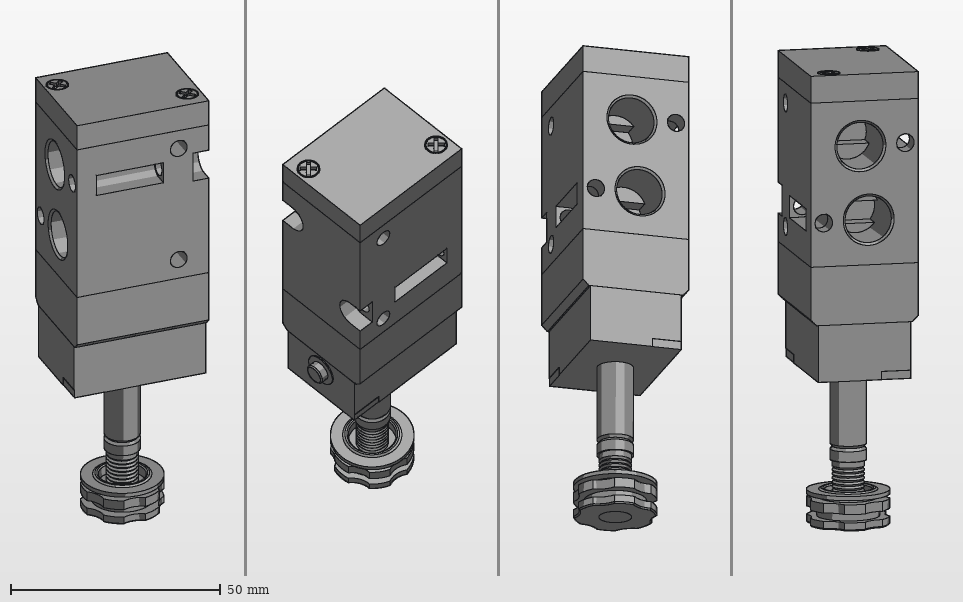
import cadquery as cq
import math


BODY_WIDTH = 26.5
BODY_DEPTH = 34.0
PILOT_WIDTH = 22.7
TOP_Z = 112.6
CAP_Z = 106.1
ADAPTER_TOP_Z = 66.1
PILOT_TOP_Z = 51.8
PILOT_BOTTOM_Z = 38.0
ADAPTER_CHAMFER = 1.5

FRONT_Y = -BODY_DEPTH / 2
BACK_Y = BODY_DEPTH / 2
LEFT_X = -BODY_WIDTH / 2

SCREW_X = 8.0
SCREW_Y = 13.5
SCREW_SEAT_DIAMETER = 5.4
SCREW_HEAD_DIAMETER = 4.8
SCREW_GAP_DEPTH = 0.6
CROSS_LENGTH = 3.9
CROSS_WIDTH = 0.96
CROSS_DEPTH = 0.9

ROWS_MID_Z = (CAP_Z + ADAPTER_TOP_Z) / 2
PORT_X = 1.0
PORT_RISE = 9.0
PORT_DIAMETER = 11.4
PORT_CHAMFER = 0.6
PORT_DEPTH = 13.5
GALLERY_RISE = 9.7
GALLERY_HEIGHT = 5.4
GALLERY_DEPTH = 4.5
MOUNT_X = 10.0
MOUNT_RISE = 9.3
HOLE_DIAMETER = 4.3
SLOT_HEIGHT = 5.4
SLOT_FRONT_Y = -12.0
SLOT_BACK_Y = 5.3
NOTCH_HEIGHT = 7.5
NOTCH_FRONT_Y = 13.0
CROSS_HOLE_Y = 9.2
CROSS_HOLE_HEIGHTS = (101.2, 71.2)

RELIEF_LENGTH_X = 7.2
RELIEF_LENGTH_Y = 8.1
RELIEF_HEIGHT = 2.0
RELIEF_DEPTH = 0.1
OVERRIDE_Z = 47.2
OVERRIDE_FLANGE_DIAMETER = 8.1
OVERRIDE_FLANGE_THICKNESS = 0.3
OVERRIDE_BUTTON_DIAMETER = 5.1
OVERRIDE_HEIGHT = 2.5
OVERRIDE_CHAMFER = 0.3

STEM_RADIUS = 4.4
GROOVE_RADIUS = 3.8
GROOVE_TOP_Z = 19.6
GROOVE_HEIGHT = 1.4
GROOVE_MID_Z = GROOVE_TOP_Z - GROOVE_HEIGHT / 2
COLLAR_BOTTOM_Z = 15.7
THREAD_TOP_Z = 14.2
THREAD_RADIUS = 3.9
THREAD_ROOT_RADIUS = 3.5
THREAD_PITCH = 1.0
THREAD_TURNS = 8

FLANGE_RADIUS = 10.0
LIP_BASE_RADIUS = 7.1
LIP_TOP_RADIUS = 6.5
NECK_RADIUS = 7.0
WAIST_RADIUS = 7.5
LIP_TOP_Z = 8.8
FLANGE_TOP_Z = 8.5
FLANGE_BOTTOM_Z = 7.4
UPPER_LOBES_TOP_Z = 6.4
UPPER_LOBES_BOTTOM_Z = 4.0
LOWER_LOBES_TOP_Z = 2.0
LOBE_RADIUS = 10.0
LOBE_COUNT = 6
LOBE_SPAN = 29.0
LOBE_TURN = 26.2
SCALLOP_RADIUS = 5.6
NUT_EDGE_CHAMFER = 0.3
NUT_BORE_RADIUS = 5.7
NUT_BORE_FLOOR_Z = THREAD_TOP_Z - THREAD_TURNS * THREAD_PITCH
NUT_BORE_CHAMFER = 0.3


def block(width, bottom_z, top_z):
    """Block of full depth, centred on the Z axis."""
    return (
        cq.Workplane("XY")
        .workplane(offset=bottom_z)
        .rect(width, BODY_DEPTH)
        .extrude(top_z - bottom_z)
    )


def rod_along_y(x, z, diameter, front_y, back_y):
    """Cylinder parallel to Y."""
    return cq.Workplane(cq.Solid.makeCylinder(
        diameter / 2, back_y - front_y, cq.Vector(x, front_y, z), cq.Vector(0, 1, 0)
    ))


def revolve_profile(points):
    """Solid of revolution about Z from (radius, z) points that start and end on the axis."""
    profile = [(-radius, z) for radius, z in points]
    return cq.Workplane("XZ").polyline(profile).close().revolve(360, (0, 0), (0, 1))


def make_cap():
    cap = block(BODY_WIDTH, CAP_Z, TOP_Z)
    for side in (1, -1):
        top = cq.Workplane("XY").workplane(offset=TOP_Z).center(side * SCREW_X, side * SCREW_Y)
        gap = (
            top.circle(SCREW_SEAT_DIAMETER / 2)
            .circle(SCREW_HEAD_DIAMETER / 2)
            .extrude(-SCREW_GAP_DEPTH)
        )
        cap = cap.cut(gap)
        for angle in (45, -45):
            arm = top.transformed(rotate=(0, 0, angle)).rect(CROSS_LENGTH, CROSS_WIDTH)
            cap = cap.cut(arm.extrude(-CROSS_DEPTH))
    return cap


def port_cutter(x, z):
    """Flat-bottomed port with a chamfered mouth."""
    floor_y = FRONT_Y + PORT_DEPTH
    bore = rod_along_y(x, z, PORT_DIAMETER, FRONT_Y, floor_y)
    mouth = cq.Workplane(cq.Solid.makeCone(
        PORT_DIAMETER / 2 + PORT_CHAMFER, PORT_DIAMETER / 2, PORT_CHAMFER,
        cq.Vector(x, FRONT_Y, z), cq.Vector(0, 1, 0),
    ))
    return bore.union(mouth)


def gallery_cutter(x, port_z, mid_z):
    """Band across the port floor, as wide as the port, sunk below the floor."""
    floor_y = FRONT_Y + PORT_DEPTH
    end_y = floor_y + GALLERY_DEPTH
    slab = cq.Workplane("XY").box(PORT_DIAMETER, 2 * GALLERY_DEPTH, GALLERY_HEIGHT)
    slab = slab.translate((x, floor_y, mid_z))
    return rod_along_y(x, port_z, PORT_DIAMETER, floor_y, end_y).intersect(slab)


def side_slot(side, z, height, front_y, back_y):
    """Slot round a mounting hole, open to the near side face, with a rounded floor."""
    run_out = BODY_WIDTH / 2 - MOUNT_X
    straight = cq.Workplane("XY").box(run_out, back_y - front_y, height)
    straight = straight.translate((side * (MOUNT_X + run_out / 2), (front_y + back_y) / 2, z))
    return straight.union(rod_along_y(side * MOUNT_X, z, height, front_y, back_y))


def make_body():
    body = block(BODY_WIDTH, ADAPTER_TOP_Z, CAP_Z)
    for side in (1, -1):
        port_x = -side * PORT_X
        port_z = ROWS_MID_Z + side * PORT_RISE
        gallery_z = ROWS_MID_Z + side * GALLERY_RISE
        mount_z = ROWS_MID_Z + side * MOUNT_RISE
        body = body.cut(port_cutter(port_x, port_z))
        body = body.cut(gallery_cutter(port_x, port_z, gallery_z))
        body = body.cut(rod_along_y(side * MOUNT_X, mount_z, HOLE_DIAMETER, FRONT_Y, BACK_Y))
        body = body.cut(side_slot(side, mount_z, SLOT_HEIGHT, SLOT_FRONT_Y, SLOT_BACK_Y))
        body = body.cut(side_slot(side, mount_z, NOTCH_HEIGHT, NOTCH_FRONT_Y, BACK_Y))
    for z in CROSS_HOLE_HEIGHTS:
        cross_hole = cq.Solid.makeCylinder(
            HOLE_DIAMETER / 2, BODY_WIDTH, cq.Vector(LEFT_X, CROSS_HOLE_Y, z), cq.Vector(1, 0, 0)
        )
        body = body.cut(cq.Workplane(cross_hole))
    return body


def make_adapter():
    adapter = block(BODY_WIDTH, PILOT_TOP_Z, ADAPTER_TOP_Z)
    return adapter.faces("<Z").edges("|Y").chamfer(ADAPTER_CHAMFER)


def make_stem():
    """Stem with a V groove, a collar and thread ridges that end inside the nut."""
    points = [
        (0, PILOT_BOTTOM_Z),
        (STEM_RADIUS, PILOT_BOTTOM_Z),
        (STEM_RADIUS, GROOVE_TOP_Z),
        (GROOVE_RADIUS, GROOVE_MID_Z),
        (STEM_RADIUS, GROOVE_TOP_Z - GROOVE_HEIGHT),
        (STEM_RADIUS, COLLAR_BOTTOM_Z),
        (THREAD_RADIUS, COLLAR_BOTTOM_Z),
        (THREAD_RADIUS, THREAD_TOP_Z),
    ]
    for turn in range(THREAD_TURNS):
        crest_z = THREAD_TOP_Z - turn * THREAD_PITCH
        points.append((THREAD_ROOT_RADIUS, crest_z - THREAD_PITCH / 2))
        points.append((THREAD_RADIUS, crest_z - THREAD_PITCH))
    points += [(THREAD_RADIUS, 0), (0, 0)]
    return revolve_profile(points)


def make_override():
    """Flanged button on the back of the pilot block."""
    flange = rod_along_y(
        0, OVERRIDE_Z, OVERRIDE_FLANGE_DIAMETER, BACK_Y, BACK_Y + OVERRIDE_FLANGE_THICKNESS
    )
    button = rod_along_y(0, OVERRIDE_Z, OVERRIDE_BUTTON_DIAMETER, BACK_Y, BACK_Y + OVERRIDE_HEIGHT)
    return flange.union(button.faces(">Y").chamfer(OVERRIDE_CHAMFER))


def make_pilot():
    pilot = block(PILOT_WIDTH, PILOT_BOTTOM_Z, PILOT_TOP_Z)
    relief_z = PILOT_BOTTOM_Z + RELIEF_HEIGHT / 2
    front_relief = cq.Workplane("XY").box(RELIEF_LENGTH_X, 2 * RELIEF_DEPTH, RELIEF_HEIGHT)
    pilot = pilot.cut(front_relief.translate(((PILOT_WIDTH - RELIEF_LENGTH_X) / 2, FRONT_Y, relief_z)))
    side_relief = cq.Workplane("XY").box(2 * RELIEF_DEPTH, RELIEF_LENGTH_Y, RELIEF_HEIGHT)
    pilot = pilot.cut(side_relief.translate((-PILOT_WIDTH / 2, BACK_Y - RELIEF_LENGTH_Y / 2, relief_z)))
    return pilot.union(make_stem()).union(make_override())


def polar(radius, degrees):
    angle = math.radians(degrees)
    return (radius * math.cos(angle), radius * math.sin(angle))


def lobed_disc(bottom_z, top_z):
    """Disc whose rim alternates between round lobes and hollow scallops."""
    step = 360 / LOBE_COUNT
    half_lobe = LOBE_SPAN / 2
    half_scallop = step / 2 - half_lobe
    half_chord = LOBE_RADIUS * math.sin(math.radians(half_scallop))
    chord_distance = LOBE_RADIUS * math.cos(math.radians(half_scallop))
    scallop_sag = SCALLOP_RADIUS - math.sqrt(SCALLOP_RADIUS**2 - half_chord**2)

    rim = cq.Workplane("XY").workplane(offset=bottom_z)
    rim = rim.moveTo(*polar(LOBE_RADIUS, LOBE_TURN - half_lobe))
    for lobe in range(LOBE_COUNT):
        middle = LOBE_TURN + lobe * step
        rim = rim.threePointArc(polar(LOBE_RADIUS, middle), polar(LOBE_RADIUS, middle + half_lobe))
        rim = rim.threePointArc(
            polar(chord_distance - scallop_sag, middle + step / 2),
            polar(LOBE_RADIUS, middle + step - half_lobe),
        )
    return rim.close().extrude(top_z - bottom_z)


def make_nut():
    core = revolve_profile([
        (0, 0),
        (WAIST_RADIUS, 0),
        (WAIST_RADIUS, UPPER_LOBES_BOTTOM_Z),
        (NECK_RADIUS, UPPER_LOBES_BOTTOM_Z),
        (NECK_RADIUS, FLANGE_BOTTOM_Z),
        (FLANGE_RADIUS, FLANGE_BOTTOM_Z),
        (FLANGE_RADIUS, FLANGE_TOP_Z),
        (LIP_BASE_RADIUS, FLANGE_TOP_Z),
        (LIP_TOP_RADIUS, LIP_TOP_Z),
        (0, LIP_TOP_Z),
    ])
    bore = revolve_profile([
        (0, 0),
        (THREAD_RADIUS, 0),
        (THREAD_RADIUS, NUT_BORE_FLOOR_Z),
        (NUT_BORE_RADIUS, NUT_BORE_FLOOR_Z),
        (NUT_BORE_RADIUS, LIP_TOP_Z - NUT_BORE_CHAMFER),
        (NUT_BORE_RADIUS + NUT_BORE_CHAMFER, LIP_TOP_Z),
        (0, LIP_TOP_Z),
    ])
    upper_lobes = lobed_disc(UPPER_LOBES_BOTTOM_Z, UPPER_LOBES_TOP_Z)
    lower_lobes = lobed_disc(0, LOWER_LOBES_TOP_Z).faces("<Z").chamfer(NUT_EDGE_CHAMFER)
    return core.union(upper_lobes).union(lower_lobes).cut(bore)


cap = make_cap()
body = make_body()
adapter = make_adapter()
pilot = make_pilot()
nut = make_nut()

result = cq.Compound.makeCompound([
    cap.val(),
    body.val(),
    adapter.val(),
    pilot.val(),
    nut.val(),
])